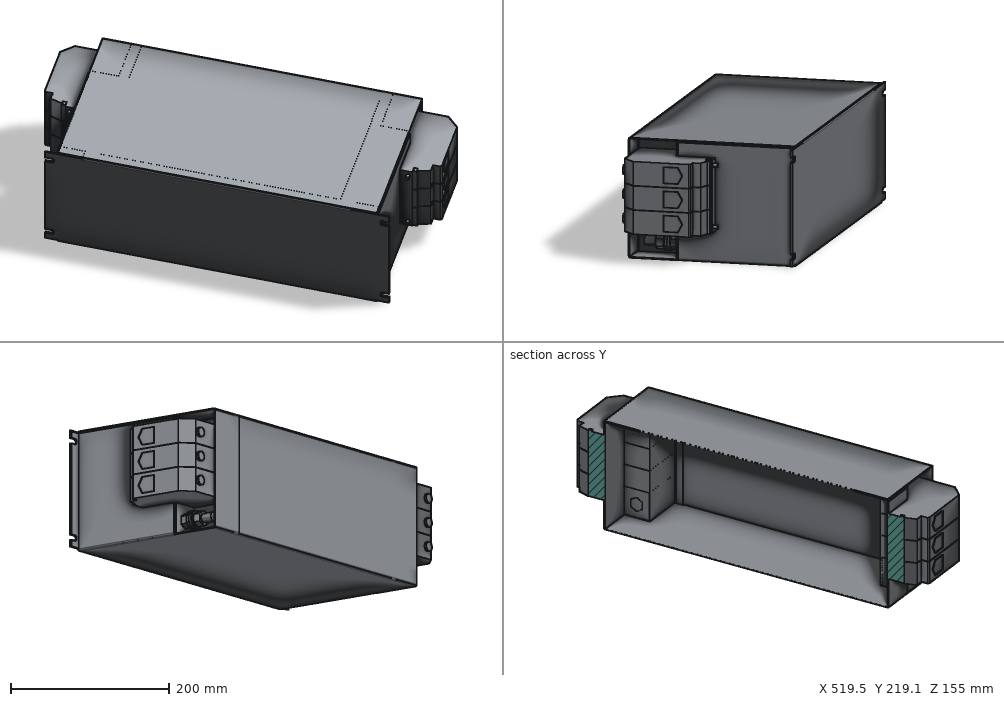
import cadquery as cq

BOX_LENGTH = 418.0
BOX_DEPTH = 219.1
BOX_HEIGHT = 155.0
SHEET = 1.5
BEND_RADIUS = 3.0
LID_SEAM_DEPTH = 0.75
TRAY_LENGTH = BOX_LENGTH + 2 * SHEET
TRAY_END_Y = 154.3
TRAY_TOP_Z = BOX_HEIGHT - 2 * SHEET

PLATE_LENGTH = 450.0
PLATE_TOP_Z = BOX_HEIGHT - SHEET
TAB_LENGTH = 352.0
TAB_END_Y = 14.0
SLOT_WIDTH = 7.0
SLOT_DEPTH = 11.7
FLANGE_SLOT_DEPTH = 10.5
SLOT_SPACING = 125.0

RECESS_DEPTH = 37.5
RECESS_FRONT_Y = 157.0
INNER_X = BOX_LENGTH / 2 - RECESS_DEPTH
FLANGE_WIDTH = 13.5

OVERALL_LENGTH = 519.5
OUTER_X = OVERALL_LENGTH / 2
MODULE_COUNT = 3
MODULE_PITCH = 31.2
BLOCK_BOTTOM_Z = 41.2
BLOCK_BACK_Y = 214.7
BLOCK_CHAMFER = 15.5
LIP_OUTER_Y = 127.0
LIP_INNER_Y = 124.5
LIP_CHAMFER = 1.5
SHOULDER_X = 248.8
SHOULDER_Y = 114.3
NOSE_OUTER_X = 233.0
NOSE_SLOPE_Y = 109.5
NOSE_FRONT_Y = 106.2
BASE_X = 226.5
BASE_FRONT_Y = 105.1
RIB_OUTER_X = 232.3
RIB_INNER_X = 227.3
RIB_WIDTH = 5.5
RIB_RISE = 1.7
PARTING_GROOVE = 0.3

ENTRY_BACK_Y = 159.9
ENTRY_SHOULDER_Y = 141.3
ENTRY_TIP_Y = 135.3
ENTRY_HEIGHT = 20.9
ENTRY_DEPTH = 1.0
SCREW_DIAMETER = 12.0
SCREW_X = 236.3
SCREW_RISE = 3.0
PIN_DIAMETER = 5.0
PIN_X = 221.5
PIN_LENGTH = 6.0
PIN_INSET = 7.0

STUD_DIAMETER = 12.0
STUD_X = BOX_LENGTH / 2 - RECESS_DEPTH / 2
STUD_Z = 20.0
STUD_TIP_Y = 202.0
NUT_ACROSS_CORNERS = 20.0
LOWER_WASHER_DIAMETER = 23.5
UPPER_WASHER_DIAMETER = 23.0
SPRING_WASHER_DIAMETER = 17.0
LOWER_NUT_END_Y = 167.3
LOWER_WASHER_END_Y = 170.9
UPPER_WASHER_END_Y = 174.6
SPRING_WASHER_END_Y = 176.2
UPPER_NUT_END_Y = 186.8

BLOCK_HEIGHT = MODULE_COUNT * MODULE_PITCH
BLOCK_TOP_Z = BLOCK_BOTTOM_Z + BLOCK_HEIGHT


def box(x0, x1, y0, y1, z0, z1):
    """Axis-aligned box between two opposite corners."""
    return cq.Workplane("XY").box(x1 - x0, y1 - y0, z1 - z0, centered=False).translate((x0, y0, z0))


def plane_facing_back(x, y, z):
    """Work plane at a point, with its normal along +Y and its local y axis along Z."""
    return cq.Workplane(cq.Plane(origin=(x, y, z), xDir=(-1, 0, 0), normal=(0, 1, 0)))


def rod(x, z, y0, y1, diameter):
    """Cylinder running along Y."""
    return plane_facing_back(x, y0, z).circle(diameter / 2).extrude(y1 - y0)


def hex_nut(x, z, y0, y1):
    """Hexagonal nut along Y with two corners pointing up and down."""
    nut = plane_facing_back(x, y0, z).transformed(rotate=(0, 0, 90))
    return nut.polygon(6, NUT_ACROSS_CORNERS).extrude(y1 - y0)


def on_both_ends(feature):
    """The feature on the +X end and its mirror image on the -X end."""
    return (feature, feature.mirror("YZ"))


def tray():
    """Front part of the housing, one sheet wider than the lid, with bent lower edges."""
    half = TRAY_LENGTH / 2
    body = box(-half, half, 0, TRAY_END_Y, 0, TRAY_TOP_Z)
    return body.edges("|Y and <Z").fillet(BEND_RADIUS).edges("<Z and <Y").fillet(BEND_RADIUS)


def rear_body():
    """Rear part of the housing, with the back panel bent at its top and bottom edges."""
    half = BOX_LENGTH / 2
    body = box(-half, half, TRAY_END_Y, BOX_DEPTH, 0, BOX_HEIGHT)
    return body.edges("|X and >Y").fillet(BEND_RADIUS)


def lid():
    """Top sheet, set back from the front face, over a core inset from its side edges."""
    half = BOX_LENGTH / 2
    sheet = box(-half, half, SHEET, TRAY_END_Y, PLATE_TOP_Z, BOX_HEIGHT)
    core = box(LID_SEAM_DEPTH - half, half - LID_SEAM_DEPTH, SHEET, TRAY_END_Y, TRAY_TOP_Z, PLATE_TOP_Z)
    return sheet.union(core)


def slotted_layer(y, top_z, slot_depth):
    """One sheet across the front with four mounting slots open at its ends."""
    half = PLATE_LENGTH / 2
    layer = box(-half, half, y, y + SHEET, BEND_RADIUS, top_z)
    for side in (-1, 1):
        for z in (BOX_HEIGHT / 2 - SLOT_SPACING / 2, BOX_HEIGHT / 2 + SLOT_SPACING / 2):
            slot = plane_facing_back(side * half, y, z).slot2D(2 * slot_depth, SLOT_WIDTH).extrude(SHEET)
            layer = layer.cut(slot)
    return layer


def top_tab_bend():
    """Corner material removed where the front plate is bent back under the lid."""
    half = TAB_LENGTH / 2
    corner = box(-half, half, 0, SHEET, PLATE_TOP_Z - SHEET, PLATE_TOP_Z)
    bend = cq.Workplane("YZ", origin=(-half, SHEET, PLATE_TOP_Z - SHEET)).circle(SHEET).extrude(TAB_LENGTH)
    return corner.cut(bend)


def mounting_plate():
    """Front plate, backed by the flanges of the tray."""
    plate = slotted_layer(0, PLATE_TOP_Z, SLOT_DEPTH).cut(top_tab_bend())
    return plate.union(slotted_layer(SHEET, TRAY_TOP_Z, FLANGE_SLOT_DEPTH))


def recess():
    """Corner opening inside the lid, back and bottom sheets; its inner wall bends away at the back."""
    back_y = BOX_DEPTH - SHEET
    opening = box(INNER_X, BOX_LENGTH / 2, RECESS_FRONT_Y, back_y, SHEET, BOX_HEIGHT - SHEET)
    corner = box(INNER_X - BEND_RADIUS, INNER_X, back_y - BEND_RADIUS, back_y, SHEET, BOX_HEIGHT - SHEET)
    bend = (
        cq.Workplane("XY", origin=(INNER_X - BEND_RADIUS, back_y - BEND_RADIUS, SHEET))
        .circle(BEND_RADIUS)
        .extrude(BOX_HEIGHT - 2 * SHEET)
    )
    return opening.union(corner.cut(bend))


def cavity():
    """Hollow inside of the housing, around the recess walls and the flanges under the lid."""
    half = BOX_LENGTH / 2 - SHEET
    front_y = 2 * SHEET
    back_y = BOX_DEPTH - SHEET
    flange_edge_x = INNER_X - FLANGE_WIDTH
    hollow = box(-half, half, front_y, back_y, SHEET, PLATE_TOP_Z)
    top_tab = box(-TAB_LENGTH / 2, TAB_LENGTH / 2, front_y, TAB_END_Y, TRAY_TOP_Z, PLATE_TOP_Z)
    hollow = hollow.cut(top_tab)
    recess_walls = box(INNER_X - SHEET, half, RECESS_FRONT_Y - SHEET, back_y, SHEET, PLATE_TOP_Z)
    top_flange = box(flange_edge_x, half, TAB_END_Y, back_y, TRAY_TOP_Z, PLATE_TOP_Z)
    back_flange = box(flange_edge_x, INNER_X, back_y - SHEET, back_y, SHEET, PLATE_TOP_Z)
    for sheet in (recess_walls, top_flange, back_flange):
        for placed in on_both_ends(sheet):
            hollow = hollow.cut(placed)
    return hollow


def module_profile():
    """Plan outline of the terminal modules at the +X end."""
    return (
        cq.Workplane("XY")
        .moveTo(INNER_X, BLOCK_BACK_Y)
        .lineTo(OUTER_X - BLOCK_CHAMFER, BLOCK_BACK_Y)
        .lineTo(OUTER_X, BLOCK_BACK_Y - BLOCK_CHAMFER)
        .lineTo(OUTER_X, LIP_OUTER_Y)
        .lineTo(OUTER_X - LIP_CHAMFER, LIP_INNER_Y)
        .lineTo(SHOULDER_X, LIP_INNER_Y)
        .lineTo(SHOULDER_X, SHOULDER_Y)
        .lineTo(NOSE_OUTER_X, NOSE_SLOPE_Y)
        .lineTo(NOSE_OUTER_X, NOSE_FRONT_Y)
        .lineTo(BOX_LENGTH / 2, NOSE_FRONT_Y)
        .lineTo(BOX_LENGTH / 2, RECESS_FRONT_Y)
        .lineTo(INNER_X, RECESS_FRONT_Y)
        .close()
    )


def wire_entry(z):
    """Shallow five-sided pocket in the outer face, pointed toward the front."""
    half = ENTRY_HEIGHT / 2
    outline = [
        (ENTRY_BACK_Y, z - half),
        (ENTRY_SHOULDER_Y, z - half),
        (ENTRY_TIP_Y, z),
        (ENTRY_SHOULDER_Y, z + half),
        (ENTRY_BACK_Y, z + half),
    ]
    pocket_floor = cq.Workplane("YZ", origin=(OUTER_X - ENTRY_DEPTH, 0, 0))
    return pocket_floor.polyline(outline).close().extrude(ENTRY_DEPTH)


def parting_groove(z):
    """Hairline gap around the outside of the block where two modules meet."""
    outer = module_profile().extrude(PARTING_GROOVE)
    core = module_profile().offset2D(-PARTING_GROOVE).extrude(PARTING_GROOVE)
    return outer.cut(core).translate((0, 0, z - PARTING_GROOVE / 2))


def terminal_block():
    """Row of terminal modules with a plain base strip, retaining rib and front pins at the +X end."""
    block = module_profile().extrude(BLOCK_HEIGHT).translate((0, 0, BLOCK_BOTTOM_Z))
    for index in range(1, MODULE_COUNT):
        block = block.cut(parting_groove(BLOCK_BOTTOM_Z + index * MODULE_PITCH))
    for index in range(MODULE_COUNT):
        z = BLOCK_BOTTOM_Z + (index + 0.5) * MODULE_PITCH
        block = block.cut(wire_entry(z))
        block = block.union(rod(SCREW_X, z, BLOCK_BACK_Y, BLOCK_BACK_Y + SCREW_RISE, SCREW_DIAMETER))
    base = box(TRAY_LENGTH / 2, BASE_X, BASE_FRONT_Y, LIP_INNER_Y, BLOCK_BOTTOM_Z, BLOCK_TOP_Z)
    rib_back_y = NOSE_FRONT_Y + RIB_WIDTH
    rib_top_z = BLOCK_TOP_Z + RIB_RISE
    rib = box(RIB_INNER_X, RIB_OUTER_X, NOSE_FRONT_Y, rib_back_y, BLOCK_TOP_Z, rib_top_z)
    block = block.union(base).union(rib)
    for z in (BLOCK_BOTTOM_Z + PIN_INSET, BLOCK_TOP_Z - PIN_INSET):
        block = block.union(rod(PIN_X, z, BASE_FRONT_Y - PIN_LENGTH, BASE_FRONT_Y, PIN_DIAMETER))
    return block


def earth_stud():
    """Stud on the front wall of the recess with two nuts clamping a stack of washers."""
    stud = rod(STUD_X, STUD_Z, RECESS_FRONT_Y, STUD_TIP_Y, STUD_DIAMETER)
    stud = stud.union(hex_nut(STUD_X, STUD_Z, RECESS_FRONT_Y, LOWER_NUT_END_Y))
    washer_start_y = LOWER_NUT_END_Y
    for washer_end_y, diameter in (
        (LOWER_WASHER_END_Y, LOWER_WASHER_DIAMETER),
        (UPPER_WASHER_END_Y, UPPER_WASHER_DIAMETER),
        (SPRING_WASHER_END_Y, SPRING_WASHER_DIAMETER),
    ):
        stud = stud.union(rod(STUD_X, STUD_Z, washer_start_y, washer_end_y, diameter))
        washer_start_y = washer_end_y
    return stud.union(hex_nut(STUD_X, STUD_Z, SPRING_WASHER_END_Y, UPPER_NUT_END_Y))


result = tray().union(rear_body()).union(lid()).union(mounting_plate()).cut(cavity())
for opening in on_both_ends(recess()):
    result = result.cut(opening)
for attachment in (terminal_block(), earth_stud()):
    for placed in on_both_ends(attachment):
        result = result.union(placed)